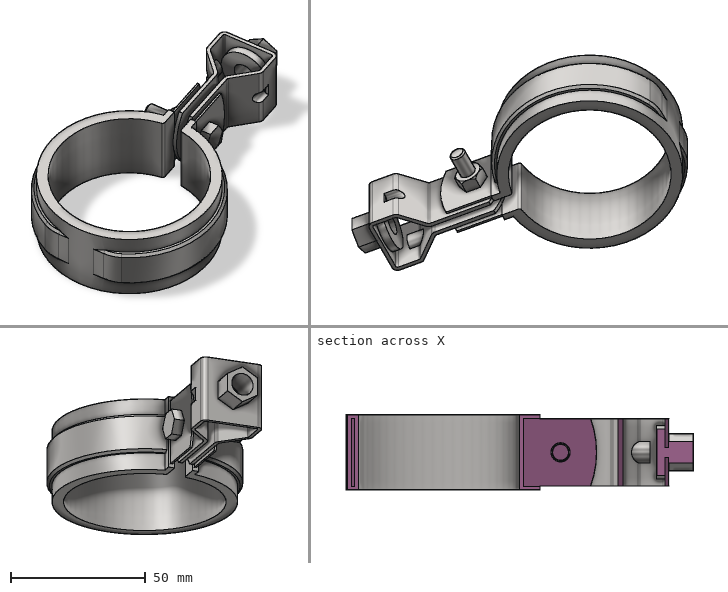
import cadquery as cq
import math


LINER_HEIGHT = 28.0
LINER_INNER_RADIUS = 30.2
LINER_OUTER_RADIUS = 34.48
GAP_HALF = 3.6
LIP_THICKNESS = 2.5
LIP_TOP_Y = 37.5
LIP_ROUND = 1.0

BELT_RADIUS = 36.41
BELT_WIDTH = 15.0
BELT_CHAMFER = 1.0
BELT_FLAT_Y = -34.0
BELT_BLEND_RADIUS = 15.0

BAND_THICKNESS = 0.8
BAND_WIDTH = 25.0
BAND_RADIUS = (LINER_INNER_RADIUS + LINER_OUTER_RADIUS) / 2
EAR_TOP_Y = 58.5
EAR_CORNER_DROP = 2.2
EAR_X = GAP_HALF + LIP_THICKNESS / 2
EAR_OUTER_X = EAR_X + BAND_THICKNESS / 2

SHEET = 1.5
BRACKET_WIDTH = BAND_WIDTH
BOX_HALF = 12.2
LEG_HALF = 3.0
BRACKET_TOP_Y = 85.3
BEND_ANGLE = math.radians(45)
LEG_BEND_Y = 64.3
BOX_BEND_Y = LEG_BEND_Y + (BOX_HALF - LEG_HALF) / math.tan(BEND_ANGLE)
LEG_END_Y = 35.6
LEG_CORNER_RISE = 4.3
BEND_INNER_RADIUS = 1.0
BEND_OUTER_RADIUS = BEND_INNER_RADIUS + SHEET
CORNER_INNER_RADIUS = 0.75
CORNER_OUTER_RADIUS = CORNER_INNER_RADIUS + SHEET

DENT_RADIUS = 2.6
DENT_BULGE_RADIUS = 4.3
DENT_START_Y = 78.4

BOSS_ACROSS_FLATS = 12.0
BOSS_LENGTH = 9.09
FLANGE_DIAMETER = 20.0
FLANGE_THICKNESS = 3.1
NECK_DIAMETER = 10.5
THREAD_DIAMETER = 8.5

BOLT_Y = 45.1
BOLT_DIAMETER = 6.0
BOLT_TIP_X = -20.0
BOLT_TIP_CHAMFER = 0.58
BOLT_HOLE_DIAMETER = 7.0
HEX_ACROSS_FLATS = 9.9
HEAD_THICKNESS = 4.0
NUT_THICKNESS = 5.0
NUT_CHAMFER = 0.8
HEX_CORNER_DIAMETER = HEX_ACROSS_FLATS / math.cos(math.pi / 6)


def box_between(x0, x1, y0, y1, height):
    """Box spanning two X and two Y limits, centred on Z = 0."""
    return cq.Workplane("XY").box(x1 - x0, y1 - y0, height).translate(((x0 + x1) / 2, (y0 + y1) / 2, 0))


def ring(outer_radius, inner_radius, height):
    return cq.Workplane("XY").circle(outer_radius).circle(inner_radius).extrude(height / 2, both=True)


def x_cylinder(diameter, x0, x1):
    """Cylinder on the bolt axis."""
    return cq.Workplane("YZ", origin=(x0, BOLT_Y, 0)).circle(diameter / 2).extrude(x1 - x0)


def y_cylinder(diameter, y0, y1):
    """Cylinder on the boss axis."""
    return cq.Workplane("XZ", origin=(0, y1, 0)).circle(diameter / 2).extrude(y1 - y0)


def x_hexagon(x0, x1):
    """Hexagon on the bolt axis, with corners towards +Y and -Y."""
    return cq.Workplane("YZ", origin=(x0, BOLT_Y, 0)).polygon(6, HEX_CORNER_DIAMETER).extrude(x1 - x0)


def make_belt():
    """Chamfered pad with a flat on -Y that the ring's own curve breaks through."""
    blend_y = BELT_FLAT_Y + BELT_BLEND_RADIUS
    centre_distance = BELT_RADIUS - BELT_BLEND_RADIUS
    blend_x = math.sqrt(centre_distance**2 - blend_y**2)
    stretch = BELT_RADIUS / centre_distance
    tangent = (blend_x * stretch, blend_y * stretch)
    half_angle = math.atan2(blend_x, -blend_y) / 2
    middle = (
        blend_x + BELT_BLEND_RADIUS * math.sin(half_angle),
        blend_y - BELT_BLEND_RADIUS * math.cos(half_angle),
    )
    return (
        cq.Workplane("XY", origin=(0, 0, -BELT_WIDTH / 2))
        .moveTo(-blend_x, BELT_FLAT_Y)
        .lineTo(blend_x, BELT_FLAT_Y)
        .threePointArc(middle, tangent)
        .threePointArc((0, BELT_RADIUS), (-tangent[0], tangent[1]))
        .threePointArc((-middle[0], middle[1]), (-blend_x, BELT_FLAT_Y))
        .close()
        .extrude(BELT_WIDTH)
        .faces("|Z")
        .chamfer(BELT_CHAMFER)
    )


def make_band():
    """C-shaped strip whose two ends turn outwards into flat ears."""
    half = BAND_THICKNESS / 2
    band = ring(BAND_RADIUS + half, BAND_RADIUS - half, BAND_WIDTH)
    band = band.cut(box_between(half - EAR_X, EAR_X - half, 0, LIP_TOP_Y, BAND_WIDTH))
    ear_start_y = math.sqrt(BAND_RADIUS**2 - EAR_X**2)
    corner_y = EAR_TOP_Y - EAR_CORNER_DROP
    for side in (-1, 1):
        ear = (
            cq.Workplane("YZ", origin=(side * EAR_X, 0, 0))
            .moveTo(ear_start_y, -BAND_WIDTH / 2)
            .lineTo(corner_y, -BAND_WIDTH / 2)
            .threePointArc((EAR_TOP_Y, 0), (corner_y, BAND_WIDTH / 2))
            .lineTo(ear_start_y, BAND_WIDTH / 2)
            .close()
            .extrude(half, both=True)
        )
        band = band.union(ear)
    return band.cut(x_cylinder(BOLT_HOLE_DIAMETER, -BOX_HALF, BOX_HALF))


def make_liner(band):
    """Split ring with a raised belt and two lips, hollowed where the band lies."""
    lip_half = GAP_HALF + LIP_THICKNESS
    liner = cq.Workplane("XY").circle(LINER_OUTER_RADIUS).extrude(LINER_HEIGHT / 2, both=True)
    liner = liner.union(make_belt())
    liner = liner.cut(box_between(-lip_half, lip_half, BAND_RADIUS, LIP_TOP_Y, LINER_HEIGHT))
    liner = liner.union(box_between(-lip_half, lip_half, 0, LIP_TOP_Y, LINER_HEIGHT))
    liner = liner.cut(cq.Workplane("XY").circle(LINER_INNER_RADIUS).extrude(LINER_HEIGHT / 2, both=True))
    liner = liner.cut(box_between(-GAP_HALF, GAP_HALF, 0, LIP_TOP_Y, LINER_HEIGHT))
    inner_corner_y = math.sqrt(LINER_INNER_RADIUS**2 - GAP_HALF**2)
    for side in (-1, 1):
        corner = cq.selectors.NearestToPointSelector((side * GAP_HALF, inner_corner_y, 0))
        liner = liner.edges(corner).fillet(LIP_ROUND)
    return liner.cut(band)


def bracket_prism(inset, leg_bend_radius, box_bend_radius, corner_radius):
    """Prism bounded by the bracket's outer surface moved inwards by an inset."""
    leg = LEG_HALF - inset
    box = BOX_HALF - inset
    bend_shift = inset * math.tan(BEND_ANGLE / 2)
    leg_bend_y = LEG_BEND_Y + bend_shift
    box_bend_y = BOX_BEND_Y + bend_shift
    top_y = BRACKET_TOP_Y - inset
    right = [(leg, LEG_END_Y), (leg, leg_bend_y), (box, box_bend_y), (box, top_y)]
    left = [(-x, y) for x, y in reversed(right)]
    prism = (
        cq.Workplane("XY", origin=(0, 0, -BRACKET_WIDTH / 2))
        .polyline(right + left)
        .close()
        .extrude(BRACKET_WIDTH)
    )
    bends = [
        (leg, leg_bend_y, leg_bend_radius),
        (box, box_bend_y, box_bend_radius),
        (box, top_y, corner_radius),
    ]
    for x, y, radius in bends:
        for side in (-1, 1):
            bend = cq.selectors.NearestToPointSelector((side * x, y, 0))
            prism = prism.edges(bend).fillet(radius)
    return prism


def leg_outline():
    """Side outline of the bracket with its rounded leg ends."""
    corner_y = LEG_END_Y + LEG_CORNER_RISE
    half = BRACKET_WIDTH / 2
    return (
        cq.Workplane("YZ")
        .moveTo(BRACKET_TOP_Y, -half)
        .lineTo(corner_y, -half)
        .threePointArc((LEG_END_Y, 0), (corner_y, half))
        .lineTo(BRACKET_TOP_Y, half)
        .close()
        .extrude(BOX_HALF, both=True)
    )


def dent_cylinder(side, radius):
    """Cylinder along Y, centred on a side face of the bracket."""
    return (
        cq.Workplane("XZ", origin=(side * BOX_HALF, DENT_START_Y, 0))
        .circle(radius)
        .extrude(DENT_START_Y - LEG_BEND_Y)
    )


def make_bracket():
    outside = bracket_prism(0, BEND_INNER_RADIUS, BEND_OUTER_RADIUS, CORNER_OUTER_RADIUS)
    inside = bracket_prism(SHEET, BEND_OUTER_RADIUS, BEND_INNER_RADIUS, CORNER_INNER_RADIUS)
    bracket = outside.cut(inside)
    for side in (-1, 1):
        bulge = dent_cylinder(side, DENT_BULGE_RADIUS).intersect(outside)
        bracket = bracket.union(bulge).cut(dent_cylinder(side, DENT_RADIUS))
    bracket = bracket.intersect(leg_outline())
    bracket = bracket.cut(x_cylinder(BOLT_HOLE_DIAMETER, -LEG_HALF, LEG_HALF))
    return bracket.cut(y_cylinder(NECK_DIAMETER, BRACKET_TOP_Y - SHEET, BRACKET_TOP_Y))


def make_boss():
    """Hexagon outside the bracket, joined by a neck to a round flange inside it."""
    flange_top_y = BRACKET_TOP_Y - SHEET
    flange_bottom_y = flange_top_y - FLANGE_THICKNESS
    boss_top_y = BRACKET_TOP_Y + BOSS_LENGTH
    hexagon = (
        cq.Workplane("XZ", origin=(0, boss_top_y, 0))
        .transformed(rotate=(0, 0, 90))
        .polygon(6, BOSS_ACROSS_FLATS / math.cos(math.pi / 6))
        .extrude(BOSS_LENGTH)
    )
    boss = hexagon.union(y_cylinder(NECK_DIAMETER, flange_top_y, BRACKET_TOP_Y))
    boss = boss.union(y_cylinder(FLANGE_DIAMETER, flange_bottom_y, flange_top_y))
    return boss.cut(y_cylinder(THREAD_DIAMETER, flange_bottom_y, boss_top_y))


def make_bolt():
    shank = x_cylinder(BOLT_DIAMETER, BOLT_TIP_X, EAR_OUTER_X).faces("<X").chamfer(BOLT_TIP_CHAMFER)
    return shank.union(x_hexagon(EAR_OUTER_X, EAR_OUTER_X + HEAD_THICKNESS))


def make_nut():
    """Hexagon nut with its outer corners turned down to a cone."""
    outer_x = -EAR_OUTER_X - NUT_THICKNESS
    turned = x_cylinder(HEX_CORNER_DIAMETER, outer_x, -EAR_OUTER_X).faces("<X").chamfer(NUT_CHAMFER)
    nut = x_hexagon(outer_x, -EAR_OUTER_X).intersect(turned)
    return nut.cut(x_cylinder(BOLT_DIAMETER, outer_x, -EAR_OUTER_X))


band = make_band()
liner = make_liner(band)
bracket = make_bracket()
boss = make_boss()
bolt = make_bolt()
nut = make_nut()

bodies = [liner, band, bracket, boss, bolt, nut]
result = cq.Compound.makeCompound([body.solids().val() for body in bodies])